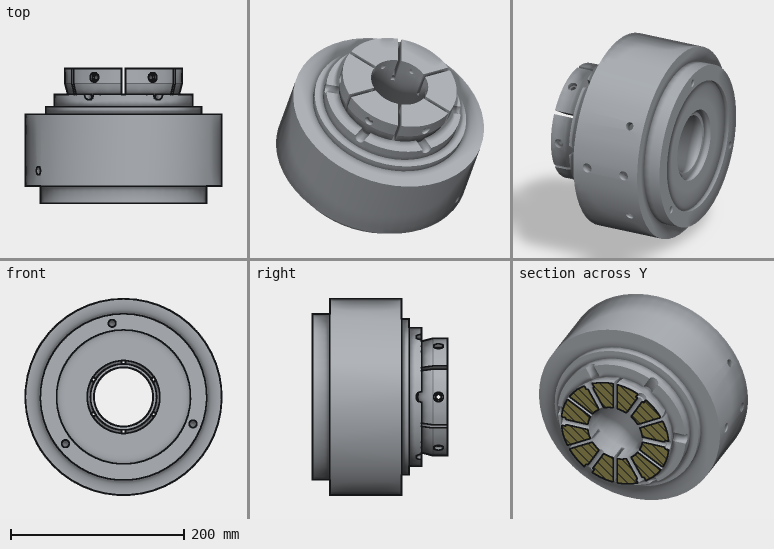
import cadquery as cq
import math


FRONT_RADIUS = 96.0
DRUM_RADIUS = 113.5
SHOULDER_RADIUS = 90.1
REAR_RADIUS = 80.1
FRONT_LENGTH = 20.0
DRUM_LENGTH = 83.0
SHOULDER_LENGTH = 8.6
REAR_LENGTH = 14.3
DRUM_START = FRONT_LENGTH
DRUM_END = DRUM_START + DRUM_LENGTH
SHOULDER_END = DRUM_END + SHOULDER_LENGTH
HOUSING_END = SHOULDER_END + REAR_LENGTH

FACE_RECESS_RADIUS = 77.5
FACE_RECESS_DEPTH = 5.0
HOUSING_BORE_RADIUS = 42.0

HUB_BORE_RADIUS = 34.0
SLEEVE_RADIUS = 38.1
SLEEVE_SETBACK = 6.8
SLEEVE_START = FACE_RECESS_DEPTH + SLEEVE_SETBACK
COLLAR_RADIUS = 67.9
COLLAR_LENGTH = 17.0
CONE_LENGTH = 13.0
CONE_ANGLE = 15.0
SEAT_DEPTH = 4.3
SEAT_END = HOUSING_END - SEAT_DEPTH
CONE_REAR = HOUSING_END + CONE_LENGTH
HUB_END = CONE_REAR + COLLAR_LENGTH
CONE_TAPER = math.tan(math.radians(CONE_ANGLE))
CONE_MOUTH_RADIUS = COLLAR_RADIUS - CONE_LENGTH * CONE_TAPER
CONE_TIP_RADIUS = CONE_MOUTH_RADIUS - SEAT_DEPTH * CONE_TAPER

COLLAR_SEGMENTS = 6
SLOT_WIDTH = 4.3
SLOT_START_ANGLE = 90.0
SCREW_START_ANGLE = 0.0
SCREW_Y = HUB_END - 10.5
SCREW_RADIUS = 3.2
SCREW_HEAD_RADIUS = 5.5
SCREW_HEAD_DEPTH = 5.5

NOTCH_RADIUS = 6.0
NOTCH_Y = HOUSING_END - 0.5

FACE_HOLE_COUNT = 3
FACE_HOLE_START_ANGLE = 98.8
FACE_HOLE_CIRCLE_RADIUS = 86.0
FACE_HOLE_RADIUS = 4.3
FACE_HOLE_DEPTH = 13.6
DRILL_POINT_ANGLE = 118.0

SIDE_HOLE_Y = 37.7
SIDE_HOLE_DEPTH = 10.5
SIDE_HOLE_FLOOR = DRUM_RADIUS - SIDE_HOLE_DEPTH
REAR_PORT_Y = 85.0
PORT_ANGLE = 180.0
PORT_RADIUS = 5.7
SIDE_HOLE_ANGLES = (150.0, 210.0)
SIDE_HOLE_RADIUS = 4.8


def turned(outline):
    """Revolve a closed outline of (Y, radius) points about the Y axis."""
    return cq.Workplane("YZ").polyline(outline).close().revolve(360, (0, 0), (1, 0))


def radial_rod(radius, y, angle, inner, outer):
    """A round rod square to the Y axis, between two distances from it; the angle runs from +X to +Z."""
    direction = cq.Vector(math.cos(math.radians(angle)), 0, math.sin(math.radians(angle)))
    start = cq.Vector(0, y, 0) + direction * inner
    return cq.Workplane(cq.Solid.makeCylinder(radius, outer - inner, start, direction))


def spaced_angles(count, start):
    """Angles in degrees, spread evenly round the full circle."""
    return [start + i * 360.0 / count for i in range(count)]


def make_housing():
    body = turned(
        [
            (FACE_RECESS_DEPTH, HOUSING_BORE_RADIUS),
            (FACE_RECESS_DEPTH, FACE_RECESS_RADIUS),
            (0, FACE_RECESS_RADIUS),
            (0, FRONT_RADIUS),
            (DRUM_START, FRONT_RADIUS),
            (DRUM_START, DRUM_RADIUS),
            (DRUM_END, DRUM_RADIUS),
            (DRUM_END, SHOULDER_RADIUS),
            (SHOULDER_END, SHOULDER_RADIUS),
            (SHOULDER_END, REAR_RADIUS),
            (HOUSING_END, REAR_RADIUS),
            (HOUSING_END, CONE_MOUTH_RADIUS),
            (SEAT_END, CONE_TIP_RADIUS),
            (SEAT_END, HOUSING_BORE_RADIUS),
        ]
    )

    for angle in spaced_angles(COLLAR_SEGMENTS, SCREW_START_ANGLE):
        body = body.cut(radial_rod(NOTCH_RADIUS, NOTCH_Y, angle, CONE_TIP_RADIUS, REAR_RADIUS))

    for angle in spaced_angles(FACE_HOLE_COUNT, FACE_HOLE_START_ANGLE):
        body = body.cut(face_drill(angle))

    for y in (SIDE_HOLE_Y, REAR_PORT_Y):
        body = body.cut(radial_rod(PORT_RADIUS, y, PORT_ANGLE, SIDE_HOLE_FLOOR, DRUM_RADIUS))
    for angle in SIDE_HOLE_ANGLES:
        body = body.cut(radial_rod(SIDE_HOLE_RADIUS, SIDE_HOLE_Y, angle, SIDE_HOLE_FLOOR, DRUM_RADIUS))
    return body.solids()


def face_drill(angle):
    """The cutter for one front face hole: a cylinder that ends in a drill point."""
    point_length = FACE_HOLE_RADIUS / math.tan(math.radians(DRILL_POINT_ANGLE / 2))
    drill = turned(
        [
            (0, 0),
            (0, FACE_HOLE_RADIUS),
            (FACE_HOLE_DEPTH, FACE_HOLE_RADIUS),
            (FACE_HOLE_DEPTH + point_length, 0),
        ]
    )
    x = FACE_HOLE_CIRCLE_RADIUS * math.cos(math.radians(angle))
    z = FACE_HOLE_CIRCLE_RADIUS * math.sin(math.radians(angle))
    return drill.translate((x, 0, z))


def make_hub():
    body = turned(
        [
            (SLEEVE_START, HUB_BORE_RADIUS),
            (SLEEVE_START, SLEEVE_RADIUS),
            (SEAT_END, SLEEVE_RADIUS),
            (SEAT_END, CONE_TIP_RADIUS),
            (CONE_REAR, COLLAR_RADIUS),
            (HUB_END, COLLAR_RADIUS),
            (HUB_END, HUB_BORE_RADIUS),
        ]
    )

    slot_length = HUB_END - SEAT_END
    slot = cq.Workplane("XY").box(COLLAR_RADIUS, slot_length, SLOT_WIDTH, centered=(False, False, True))
    slot = slot.translate((0, SEAT_END, 0))
    for angle in spaced_angles(COLLAR_SEGMENTS, SLOT_START_ANGLE):
        body = body.cut(slot.rotate((0, 0, 0), (0, 1, 0), -angle))

    head_floor = COLLAR_RADIUS - SCREW_HEAD_DEPTH
    for angle in spaced_angles(COLLAR_SEGMENTS, SCREW_START_ANGLE):
        body = body.cut(radial_rod(SCREW_RADIUS, SCREW_Y, angle, 0, COLLAR_RADIUS))
        body = body.cut(radial_rod(SCREW_HEAD_RADIUS, SCREW_Y, angle, head_floor, COLLAR_RADIUS))
    return body.solids()


housing = make_housing()
hub = make_hub()
result = cq.Compound.makeCompound([housing.val(), hub.val()])